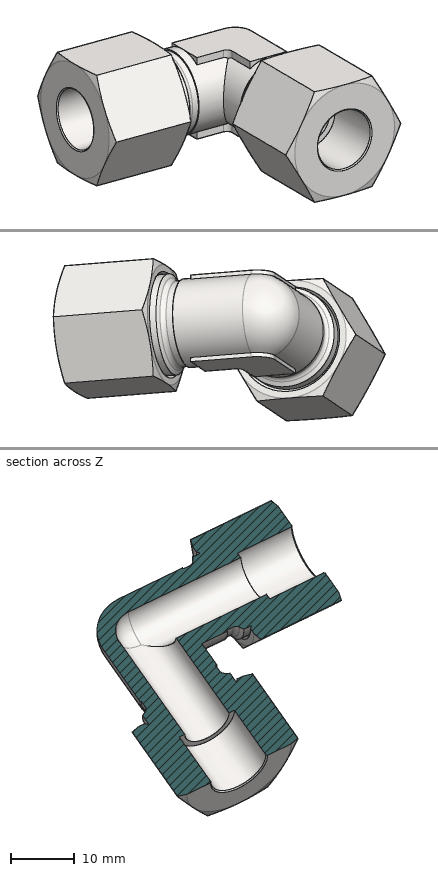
import cadquery as cq
import math

overall_length = 41.45
nut_across_flats = 19.0
nut_corner_radius = nut_across_flats / math.sqrt(3)
arm_length = overall_length - nut_corner_radius

body_radius = 14.0 / 2
body_end = 11.65
neck_radius = 13.6 / 2
neck_end = 12.77
collar_radius = 16.0 / 2
flare_radius = 1.0
flare_angle = math.radians(60)

nut_start_x = 14.95
nut_start_y = 15.5
nut_chamfer_angle = 15.0
nut_countersink = 0.4

bore_radius = 8.0 / 2
tube_socket_radius = 10.0 / 2
tube_socket_depth = 10.0
socket_chamfer = 0.2

pad_outer = 3.0
pad_inner = 4.0
pad_end = 10.0
pad_inner_fillet = 1.0


def make_nut(start):
    """Hexagonal nut along X with both ends turned conically and a countersunk rear face."""
    length = arm_length - start
    hexagon = (
        cq.Workplane("YZ", origin=(start, 0, 0))
        .polygon(6, 2 * nut_corner_radius)
        .extrude(length)
    )
    flat_radius = nut_across_flats / 2
    chamfer_length = (nut_corner_radius - flat_radius) * math.tan(math.radians(nut_chamfer_angle))
    envelope = (
        cq.Workplane("YZ", origin=(start, 0, 0))
        .circle(nut_corner_radius)
        .extrude(length)
        .faces("<X or >X")
        .chamfer(chamfer_length, nut_corner_radius - flat_radius)
    )
    countersink = (
        cq.Workplane("XY")
        .moveTo(start, collar_radius)
        .lineTo(start, collar_radius + nut_countersink)
        .lineTo(start + nut_countersink, collar_radius)
        .close()
        .revolve(360, (0, 0, 0), (1, 0, 0))
    )
    return hexagon.intersect(envelope).cut(countersink)


def make_arm(nut_start):
    """Turned body section along X, from the elbow centre to its nut."""

    def flare_point(angle):
        return (
            neck_end + flare_radius * math.sin(angle),
            neck_radius + flare_radius * (1 - math.cos(angle)),
        )

    cone_x, cone_radius = flare_point(flare_angle)
    collar_start = cone_x + (collar_radius - cone_radius) / math.tan(flare_angle)
    turned = (
        cq.Workplane("XY")
        .lineTo(0, body_radius)
        .lineTo(body_end, body_radius)
        .lineTo(body_end, neck_radius)
        .lineTo(neck_end, neck_radius)
        .threePointArc(flare_point(flare_angle / 2), (cone_x, cone_radius))
        .lineTo(collar_start, collar_radius)
        .lineTo(nut_start, collar_radius)
        .lineTo(nut_start, 0)
        .close()
        .revolve(360, (0, 0, 0), (1, 0, 0))
    )
    return turned.union(make_nut(nut_start))


def make_passage():
    """Bore along X with a tube socket and a chamfered mouth."""
    socket_floor = arm_length - tube_socket_depth
    mouth_radius = tube_socket_radius + socket_chamfer
    return (
        cq.Workplane("XY")
        .lineTo(0, bore_radius)
        .lineTo(socket_floor, bore_radius)
        .lineTo(socket_floor, tube_socket_radius)
        .lineTo(arm_length - socket_chamfer, tube_socket_radius)
        .lineTo(arm_length, mouth_radius)
        .lineTo(arm_length, 0)
        .close()
        .revolve(360, (0, 0, 0), (1, 0, 0))
    )


def make_pads():
    """L-shaped prism whose ends form the two flats, flush with the body."""
    arc_middle = pad_outer * math.sqrt(0.5)
    outline = (
        cq.Workplane("XY")
        .moveTo(-pad_outer, 0)
        .threePointArc((-arc_middle, arc_middle), (0, pad_outer))
        .lineTo(pad_end, pad_outer)
        .lineTo(pad_end, -pad_inner)
        .lineTo(pad_inner, -pad_inner)
        .lineTo(pad_inner, -pad_end)
        .lineTo(-pad_outer, -pad_end)
        .close()
        .extrude(body_radius, both=True)
    )
    inner_corner = cq.selectors.NearestToPointSelector((pad_inner, -pad_inner, 0))
    return outline.edges("|Z").edges(inner_corner).fillet(pad_inner_fillet)


def turn_to_y_arm(shape):
    """Turn a shape lying along +X so that it lies along -Y."""
    return shape.rotate((0, 0, 0), (0, 0, 1), -90)


solid_elbow = (
    cq.Workplane("XY")
    .sphere(body_radius)
    .union(make_arm(nut_start_x))
    .union(turn_to_y_arm(make_arm(nut_start_y)))
    .union(make_pads())
)

passage = make_passage()
result = (
    solid_elbow
    .cut(passage)
    .cut(turn_to_y_arm(passage))
    .cut(cq.Workplane("XY").sphere(bore_radius))
)